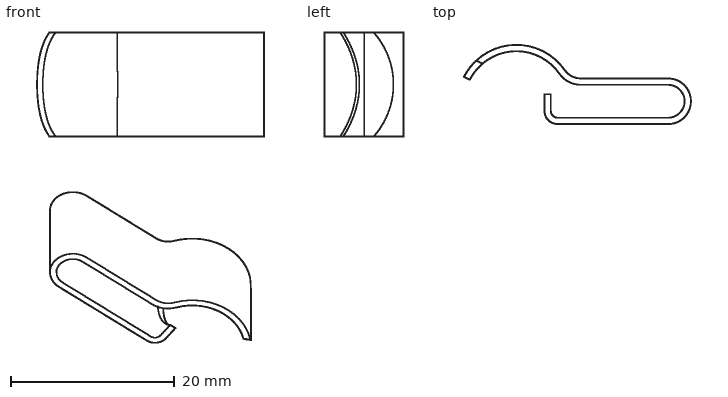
import cadquery as cq
import math

length = 27.7
depth = 9.7
width = 12.7
thickness = 0.8

loop_gap = 4.0
loop_inner_radius = loop_gap / 2
loop_outer_radius = loop_inner_radius + thickness
loop_height = loop_gap + 2 * thickness
loop_center_x = length - loop_outer_radius

lip_x = 9.8
lip_top = 3.65
lip_inner_radius = 0.83
lip_outer_radius = lip_inner_radius + thickness
lip_bend_x = lip_x + lip_outer_radius

crown_outer_radius = 7.17
crown_inner_radius = crown_outer_radius - thickness
crown_x = 6.4
crown_y = depth - crown_outer_radius
reverse_upper_radius = 2.4
reverse_lower_radius = reverse_upper_radius + thickness
reverse_y = loop_height + reverse_upper_radius
center_distance = crown_outer_radius + reverse_upper_radius
join_angle = math.asin((reverse_y - crown_y) / center_distance)
reverse_x = crown_x + center_distance * math.cos(join_angle)
tip_angle = math.acos(-crown_x / crown_outer_radius)

tip_end_sagitta = 2.46
lip_end_sagitta = 2.4
cutter_margin = 1.38


def polar(center_x, center_y, radius, angle):
    return (center_x + radius * math.cos(angle), center_y + radius * math.sin(angle))


def crown_point(radius, angle):
    return polar(crown_x, crown_y, radius, angle)


def reverse_point(radius, angle):
    return polar(reverse_x, reverse_y, radius, angle)


def make_strip():
    """Bent strip of constant thickness, extruded along Z."""
    crown_mid = (tip_angle + join_angle) / 2
    reverse_start = join_angle + math.pi
    reverse_end = 1.5 * math.pi
    reverse_mid = (reverse_start + reverse_end) / 2
    lip_mid = 1.25 * math.pi
    inner_top = loop_height - thickness
    loop_center_y = loop_height / 2
    outline = (
        cq.Workplane("XY")
        .moveTo(*crown_point(crown_outer_radius, tip_angle))
        .threePointArc(
            crown_point(crown_outer_radius, crown_mid),
            crown_point(crown_outer_radius, join_angle),
        )
        .threePointArc(reverse_point(reverse_upper_radius, reverse_mid), (reverse_x, loop_height))
        .lineTo(loop_center_x, loop_height)
        .threePointArc((length, loop_center_y), (loop_center_x, 0))
        .lineTo(lip_bend_x, 0)
        .threePointArc(
            polar(lip_bend_x, lip_outer_radius, lip_outer_radius, lip_mid),
            (lip_x, lip_outer_radius),
        )
        .lineTo(lip_x, lip_top)
        .lineTo(lip_x + thickness, lip_top)
        .lineTo(lip_x + thickness, lip_outer_radius)
        .threePointArc(
            polar(lip_bend_x, lip_outer_radius, lip_inner_radius, lip_mid),
            (lip_bend_x, thickness),
        )
        .lineTo(loop_center_x, thickness)
        .threePointArc((length - thickness, loop_center_y), (loop_center_x, inner_top))
        .lineTo(reverse_x, inner_top)
        .threePointArc(
            reverse_point(reverse_lower_radius, reverse_mid),
            reverse_point(reverse_lower_radius, reverse_start),
        )
        .threePointArc(
            crown_point(crown_inner_radius, crown_mid),
            crown_point(crown_inner_radius, tip_angle),
        )
        .close()
    )
    return outline.extrude(width)


def plane_at(x, y, across, normal):
    """Plane at mid-width, with its local Y along Z."""
    return cq.Plane(origin=(x, y, width / 2), xDir=across, normal=normal)


def make_tip_cutter():
    """Waste outside a convex tip, cut along the crown radius at the tip."""
    radial = (math.cos(tip_angle), math.sin(tip_angle), 0)
    inward = (math.sin(tip_angle), -math.cos(tip_angle), 0)
    normal = tuple(-component for component in radial)
    tip = crown_point(crown_outer_radius, tip_angle)
    half_width = width / 2
    waste = (
        cq.Workplane(plane_at(*tip, inward, normal))
        .moveTo(tip_end_sagitta, -half_width)
        .threePointArc((0, 0), (tip_end_sagitta, half_width))
        .lineTo(-cutter_margin, half_width)
        .lineTo(-cutter_margin, -half_width)
        .close()
    )
    return waste.extrude(thickness + cutter_margin, both=True)


def make_lip_cutter():
    """Concave scoop through the lip, cut along X."""
    half_width = width / 2
    scoop = (
        cq.Workplane(plane_at(lip_x, lip_top, (0, 1, 0), (1, 0, 0)))
        .moveTo(0, -half_width)
        .threePointArc((-lip_end_sagitta, 0), (0, half_width))
        .close()
    )
    return scoop.extrude(lip_outer_radius)


result = make_strip().cut(make_tip_cutter()).cut(make_lip_cutter())